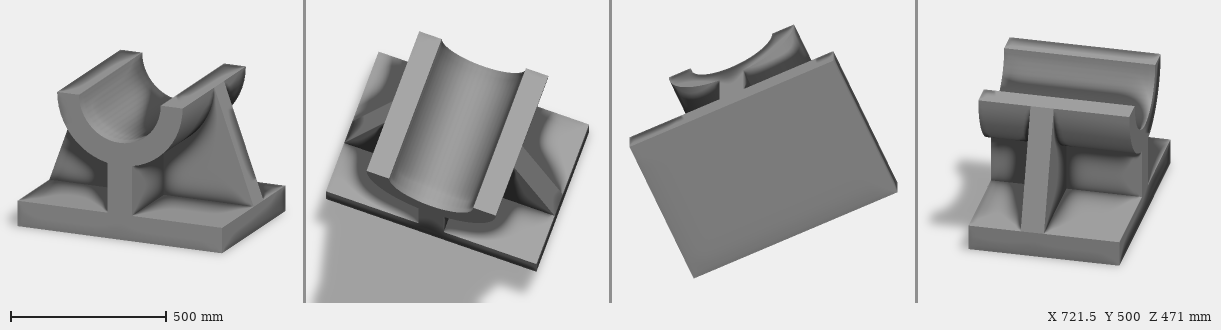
import cadquery as cq

base_length = 721.5
depth = 500.0
total_height = 471.0
base_thickness = 86.0
web_thickness = 86.0
rib_thickness = 77.0
outer_radius = 221.5
bore_radius = 144.0

half_length = base_length / 2
half_depth = depth / 2


def cylinder_along_y(radius):
    """Full-depth cylinder on the cradle axis."""
    return (
        cq.Workplane("XZ", origin=(0, half_depth, 0))
        .center(0, total_height)
        .circle(radius)
        .extrude(depth)
    )


def block(length, height):
    """Full-depth block centred in X and Y, standing on Z = 0."""
    return cq.Workplane("XY").box(length, depth, height, centered=(True, True, False))


def side_ribs():
    """Tapered plate whose front face lies on the mid-depth plane."""
    return (
        cq.Workplane("XZ", origin=(0, rib_thickness, 0))
        .moveTo(-half_length, base_thickness)
        .lineTo(half_length, base_thickness)
        .lineTo(outer_radius, total_height)
        .lineTo(-outer_radius, total_height)
        .close()
        .extrude(rib_thickness)
    )


base = block(base_length, base_thickness)
web = block(web_thickness, total_height)
cradle = cylinder_along_y(outer_radius)

envelope = block(base_length, total_height)
result = (
    base.union(web)
    .union(side_ribs())
    .union(cradle)
    .intersect(envelope)
    .cut(cylinder_along_y(bore_radius))
)